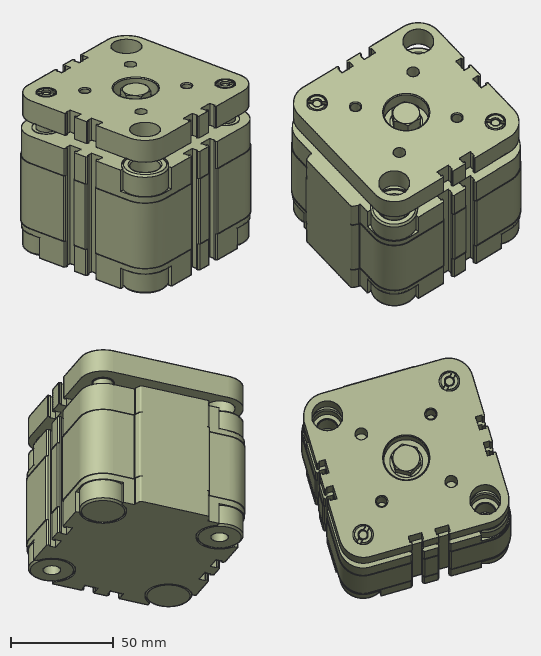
import cadquery as cq
import math

OVERALL_HEIGHT = 84.5
HOUSING_HEIGHT = 65.25
PLATE_THICKNESS = 12.0
PLATE_BOTTOM = OVERALL_HEIGHT - PLATE_THICKNESS

BARREL_HALF_WIDTH = 43.5
CAP_HALF_WIDTH = 43.1
PLATE_HALF_WIDTH = 42.7
PLATE_CORNER_RADIUS = 12.0
AXIS_OFFSET = 31.0

BARREL_BOTTOM = 14.4
BARREL_TOP = 50.4

RIDGE_FACE = 47.5
RIDGE_ROOT = 44.2
RIDGE_HALF_WIDTH = 19.9
RIDGE_TAPER = 1.5
RIDGE_ROUND = 1.2

SLOT_PITCH = 13.6
SLOT_WIDTH = 6.8
SLOT_MOUTH = 5.2
SLOT_FLOOR = 38.2
SLOT_SHOULDER = 41.4
HOUSING_MOUTH_BEVEL = (SLOT_WIDTH - SLOT_MOUTH) / 2
PLATE_MOUTH_BEVEL = 0.4

CORNER_BOSS_DIAMETER = 23.0
CORNER_BOSS_CHAMFER = 1.0
RELIEF_START = 25.5
BOTTOM_RELIEF_HEIGHT = 11.2
TOP_RELIEF_DEPTH = 11.65

SEAT_DIAMETER = 16.5
SEAT_DEPTH = 8.2
SEAT_CHAMFER = 0.7
THREAD_DIAMETER = 10.0
THREAD_DEPTH = 18.2
THREAD_CHAMFER = 0.5
THROUGH_DIAMETER = 8.55

ROD_BOTTOM = BARREL_TOP

ROD_DIAMETER = 10.0
ROD_COLLAR_DIAMETER = 11.0
ROD_COLLAR_HEIGHT = 0.4
ROD_END_DIAMETER = 8.4
ROD_END_CHAMFER = (ROD_DIAMETER - ROD_END_DIAMETER) / 2
ROD_SOCKET_DIAMETER = 4.9
ROD_SOCKET_DEPTH = 1.4
ROD_CORE_DIAMETER = 4.0
ROD_CORE_HEIGHT = 0.5
ROD_SLOT_WIDTH = 2.0
ROD_SLOT_DEPTH = 2.0
BUSHING_DIAMETER = 14.0
BUSHING_RECESS = 0.2

PISTON_ROD_DIAMETER = 16.0
FLAT_WIDTH = 13.0
FLAT_BOTTOM = 66.4
HEX_WIDTH = 13.0
HEX_HEIGHT = 7.3
HEX_CHAMFER_ANGLE = 30
HEAD_WASHER_HEIGHT = 0.4

HEAD_POCKET_DIAMETER = 22.0
HEAD_POCKET_DEPTH = 8.0
HEAD_POCKET_CHAMFER = 0.5
ACCESS_DIAMETER = 15.0
FIXING_DIAMETER = 6.0
FIXING_OFFSET = 17.65
THREADED_FIXING_DIAMETER = 4.9

ROD_AXES = [(-AXIS_OFFSET, -AXIS_OFFSET), (AXIS_OFFSET, AXIS_OFFSET)]
MOUNTING_AXES = [(-AXIS_OFFSET, AXIS_OFFSET), (AXIS_OFFSET, -AXIS_OFFSET)]

CUT_MARGIN = 0.9


def cylinder(x, y, bottom, top, diameter):
    return cq.Workplane("XY", origin=(x, y, bottom)).circle(diameter / 2).extrude(top - bottom)


def cone(x, y, bottom, top, bottom_diameter, top_diameter):
    profile = [
        (0, bottom),
        (bottom_diameter / 2, bottom),
        (top_diameter / 2, top),
        (0, top),
    ]
    return cq.Workplane("XZ").polyline(profile).close().revolve(360, (0, 0), (0, 1)).translate((x, y, 0))


def t_slots(half_width, bevel, bottom, top):
    """Three pairs of T-slots that open on flat sides half_width from the centre."""
    neck = SLOT_MOUTH / 2
    head = SLOT_WIDTH / 2
    outside = half_width + CUT_MARGIN
    right_side = [
        (head, SLOT_FLOOR),
        (head, SLOT_SHOULDER),
        (neck, SLOT_SHOULDER),
        (neck, half_width - bevel),
        (neck + bevel, half_width),
        (neck + bevel, outside),
    ]
    left_side = [(-x, y) for x, y in reversed(right_side)]
    slot = cq.Workplane("XY").polyline(right_side + left_side).close().extrude(top - bottom)
    pair = slot.translate((-SLOT_PITCH / 2, 0, bottom)).union(slot.translate((SLOT_PITCH / 2, 0, bottom)))
    slots = cq.Workplane("XY")
    for angle in (90, 180, 270):
        slots = slots.add(pair.rotate((0, 0, 0), (0, 0, 1), angle))
    return slots.combine()


def slotted_block(half_width, corner_radius, bevel, bottom, top):
    """Square block with rounded corners and T-slots on three sides."""
    block = (
        cq.Workplane("XY", origin=(0, 0, bottom))
        .rect(2 * half_width, 2 * half_width)
        .extrude(top - bottom)
        .edges("|Z")
        .fillet(corner_radius)
    )
    return block.cut(t_slots(half_width, bevel, bottom, top))


def housing_section(half_width, bottom, top):
    """One length of the housing: slotted block plus its part of the ridge."""
    ridge_half_width = RIDGE_HALF_WIDTH + half_width - BARREL_HALF_WIDTH
    outline = [
        (-ridge_half_width, SLOT_FLOOR),
        (-ridge_half_width, RIDGE_ROOT),
        (RIDGE_TAPER - ridge_half_width, RIDGE_FACE),
        (ridge_half_width - RIDGE_TAPER, RIDGE_FACE),
        (ridge_half_width, RIDGE_ROOT),
        (ridge_half_width, SLOT_FLOOR),
    ]
    ridge = (
        cq.Workplane("XY", origin=(0, 0, bottom))
        .polyline(outline)
        .close()
        .extrude(top - bottom)
        .faces(">Y")
        .edges("|Z")
        .fillet(RIDGE_ROUND)
    )
    corner_radius = half_width - AXIS_OFFSET
    return slotted_block(half_width, corner_radius, HOUSING_MOUTH_BEVEL, bottom, top).union(ridge)


def corner_relief(depth):
    """Material removed around a chamfered corner boss, going down from z = 0."""
    outside = 2 * CAP_HALF_WIDTH
    square = (
        cq.Workplane("XY")
        .rect(outside, outside, centered=False)
        .extrude(-depth)
        .translate((RELIEF_START, RELIEF_START, 0))
    )
    boss = cylinder(AXIS_OFFSET, AXIS_OFFSET, -depth, 0, CORNER_BOSS_DIAMETER)
    chamfer_ring = cylinder(AXIS_OFFSET, AXIS_OFFSET, -CORNER_BOSS_CHAMFER, 0, CORNER_BOSS_DIAMETER).cut(
        cone(
            AXIS_OFFSET,
            AXIS_OFFSET,
            -CORNER_BOSS_CHAMFER,
            0,
            CORNER_BOSS_DIAMETER,
            CORNER_BOSS_DIAMETER - 2 * CORNER_BOSS_CHAMFER,
        )
    )
    return square.cut(boss).union(chamfer_ring)


def mounting_hole(x, y):
    """Chamfered seat, chamfered thread and through hole, one below the other."""
    seat_floor = HOUSING_HEIGHT - SEAT_DEPTH
    return (
        cylinder(x, y, 0, HOUSING_HEIGHT, THROUGH_DIAMETER)
        .union(cylinder(x, y, seat_floor - THREAD_DEPTH, seat_floor, THREAD_DIAMETER))
        .union(
            cone(
                x,
                y,
                seat_floor - THREAD_CHAMFER,
                seat_floor,
                THREAD_DIAMETER,
                THREAD_DIAMETER + 2 * THREAD_CHAMFER,
            )
        )
        .union(cylinder(x, y, seat_floor, HOUSING_HEIGHT, SEAT_DIAMETER - 2 * SEAT_CHAMFER))
        .union(
            cone(
                x,
                y,
                HOUSING_HEIGHT - SEAT_CHAMFER,
                HOUSING_HEIGHT,
                SEAT_DIAMETER - 2 * SEAT_CHAMFER,
                SEAT_DIAMETER,
            )
        )
    )


def make_housing():
    housing = (
        housing_section(CAP_HALF_WIDTH, 0, BARREL_BOTTOM)
        .union(housing_section(BARREL_HALF_WIDTH, BARREL_BOTTOM, BARREL_TOP))
        .union(housing_section(CAP_HALF_WIDTH, BARREL_TOP, HOUSING_HEIGHT))
    )
    bottom_relief = corner_relief(BOTTOM_RELIEF_HEIGHT).rotate((0, 0, 0), (1, 1, 0), 180)
    for angle in (0, 90, 180, 270):
        housing = housing.cut(bottom_relief.rotate((0, 0, 0), (0, 0, 1), angle))
    top_relief = corner_relief(TOP_RELIEF_DEPTH).translate((0, 0, HOUSING_HEIGHT))
    for angle in (90, 270):
        housing = housing.cut(top_relief.rotate((0, 0, 0), (0, 0, 1), angle))
    for x, y in MOUNTING_AXES:
        housing = housing.cut(mounting_hole(x, y))
    for x, y in ROD_AXES:
        housing = housing.cut(cylinder(x, y, ROD_BOTTOM, HOUSING_HEIGHT, ROD_DIAMETER))
        housing = housing.cut(
            cylinder(x, y, HOUSING_HEIGHT - BUSHING_RECESS, HOUSING_HEIGHT, BUSHING_DIAMETER)
        )
    return housing.cut(cylinder(0, 0, ROD_BOTTOM, HOUSING_HEIGHT, PISTON_ROD_DIAMETER))


def rod_end(x, y):
    """Cuts in the top of a guide rod: rim chamfer, socket around a core and diagonal slot."""
    rim = cylinder(x, y, OVERALL_HEIGHT - ROD_END_CHAMFER, OVERALL_HEIGHT, ROD_DIAMETER).cut(
        cone(x, y, OVERALL_HEIGHT - ROD_END_CHAMFER, OVERALL_HEIGHT, ROD_DIAMETER, ROD_END_DIAMETER)
    )
    socket_floor = OVERALL_HEIGHT - ROD_SOCKET_DEPTH
    core_top = socket_floor + ROD_CORE_HEIGHT
    socket = cylinder(x, y, socket_floor, OVERALL_HEIGHT, ROD_SOCKET_DIAMETER).cut(
        cone(x, y, socket_floor, core_top, ROD_SOCKET_DIAMETER, ROD_CORE_DIAMETER)
    )
    slot_bottom = OVERALL_HEIGHT - ROD_SLOT_DEPTH
    slot = (
        cq.Workplane("XY")
        .box(ROD_DIAMETER, ROD_SLOT_WIDTH, ROD_SLOT_DEPTH, centered=(True, True, False))
        .rotate((0, 0, 0), (0, 0, 1), 45)
        .translate((x, y, slot_bottom))
        .intersect(cylinder(x, y, slot_bottom, OVERALL_HEIGHT, ROD_DIAMETER))
        .cut(cylinder(x, y, slot_bottom, OVERALL_HEIGHT, ROD_SOCKET_DIAMETER))
    )
    return rim.union(socket).union(slot)


def piston_rod():
    round_part = cylinder(0, 0, ROD_BOTTOM, FLAT_BOTTOM, PISTON_ROD_DIAMETER)
    flat_height = PLATE_BOTTOM - FLAT_BOTTOM
    flat_part = (
        cq.Workplane("XY", origin=(0, 0, FLAT_BOTTOM))
        .rect(PISTON_ROD_DIAMETER, FLAT_WIDTH)
        .extrude(flat_height)
        .intersect(cylinder(0, 0, FLAT_BOTTOM, PLATE_BOTTOM, PISTON_ROD_DIAMETER))
    )
    return round_part.union(flat_part)


def hex_head():
    """Hexagonal head with flats facing -X and +X, chamfered to a round top."""
    bottom = OVERALL_HEIGHT - HEAD_POCKET_DEPTH
    corner_diameter = HEX_WIDTH / math.cos(math.pi / 6)
    drop = (corner_diameter - HEX_WIDTH) / 2 * math.tan(math.radians(HEX_CHAMFER_ANGLE))
    top = bottom + HEX_HEIGHT
    envelope = cylinder(0, 0, bottom, top - drop, corner_diameter).union(
        cone(0, 0, top - drop, top, corner_diameter, HEX_WIDTH)
    )
    hexagon = (
        cq.Workplane("XY", origin=(0, 0, bottom))
        .polygon(6, corner_diameter)
        .extrude(HEX_HEIGHT)
        .rotate((0, 0, 0), (0, 0, 1), 30)
    )
    washer = cylinder(0, 0, bottom, bottom + HEAD_WASHER_HEIGHT, PISTON_ROD_DIAMETER)
    return hexagon.intersect(envelope).union(washer)


def head_pocket():
    chamfer_start = OVERALL_HEIGHT - HEAD_POCKET_CHAMFER
    pocket = cylinder(0, 0, OVERALL_HEIGHT - HEAD_POCKET_DEPTH, OVERALL_HEIGHT, HEAD_POCKET_DIAMETER)
    rim_diameter = HEAD_POCKET_DIAMETER + 2 * HEAD_POCKET_CHAMFER
    return pocket.union(cone(0, 0, chamfer_start, OVERALL_HEIGHT, HEAD_POCKET_DIAMETER, rim_diameter))


def threaded_fixing_hole(x, y):
    """Hole whose top edge widens to the size of the plain fixing holes."""
    chamfer_start = OVERALL_HEIGHT - (FIXING_DIAMETER - THREADED_FIXING_DIAMETER) / 2
    hole = cylinder(x, y, PLATE_BOTTOM, OVERALL_HEIGHT, THREADED_FIXING_DIAMETER)
    return hole.union(
        cone(x, y, chamfer_start, OVERALL_HEIGHT, THREADED_FIXING_DIAMETER, FIXING_DIAMETER)
    )


def make_yoke():
    yoke = slotted_block(
        PLATE_HALF_WIDTH, PLATE_CORNER_RADIUS, PLATE_MOUTH_BEVEL, PLATE_BOTTOM, OVERALL_HEIGHT
    )
    yoke = yoke.cut(head_pocket()).union(hex_head()).union(piston_rod())
    for x, y in MOUNTING_AXES:
        yoke = yoke.cut(cylinder(x, y, PLATE_BOTTOM, OVERALL_HEIGHT, ACCESS_DIAMETER))
    for side in (-1, 1):
        offset = side * FIXING_OFFSET
        yoke = yoke.cut(threaded_fixing_hole(offset, offset))
        yoke = yoke.cut(cylinder(offset, -offset, PLATE_BOTTOM, OVERALL_HEIGHT, FIXING_DIAMETER))
    for x, y in ROD_AXES:
        yoke = yoke.union(cylinder(x, y, ROD_BOTTOM, PLATE_BOTTOM, ROD_DIAMETER))
        yoke = yoke.union(
            cylinder(x, y, PLATE_BOTTOM - ROD_COLLAR_HEIGHT, PLATE_BOTTOM, ROD_COLLAR_DIAMETER)
        )
        yoke = yoke.cut(rod_end(x, y))
    return yoke


housing = make_housing()
yoke = make_yoke()

result = cq.Compound.makeCompound([housing.val(), yoke.val()])